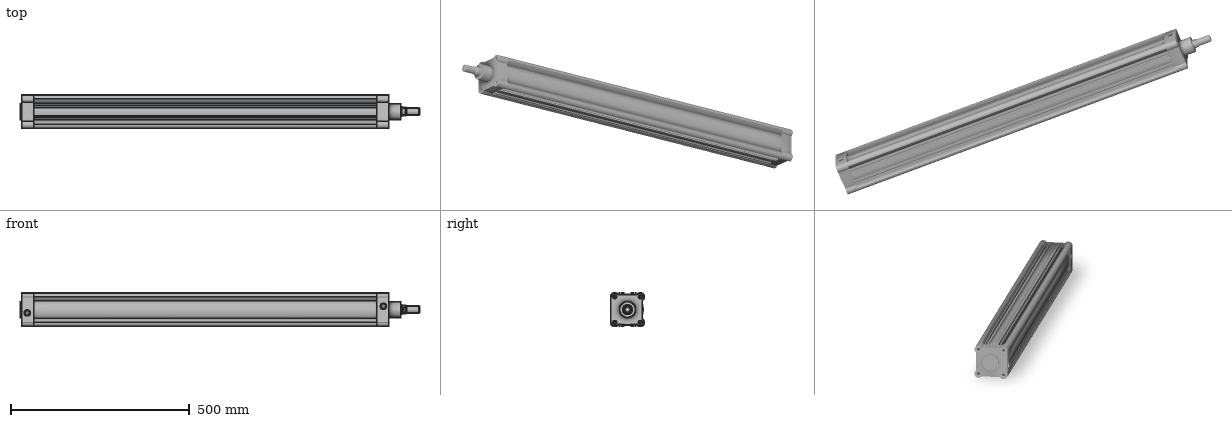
import cadquery as cq
import math


total_length = 1118.0
rear_boss_length = 4.0
cap_length = 34.0
front_boss_length = 34.0
rod_reach = 46.0
thread_length = 40.0

width = 94.0
half_width = width / 2
corner_radius = 11.0
corner_offset = half_width - corner_radius

cap_recess = 5.0
boss_diameter = 45.0
lip_diameter = 27.0
lip_length = 2.0
screw_hole_diameter = 8.0
screw_hole_depth = 17.0
port_diameter = 15.0
port_depth = 13.0
port_setback = 16.0
hole_chamfer = 1.0
port_offset = 9.5

tube_radius = 44.0
rail_inner = 11.0
rail_outer = 23.0
slot_inner = 16.0
slot_outer = 21.0
slot_depth = 8.0

rod_diameter = 25.0
thread_diameter = 20.0
thread_chamfer = 2.0
taper_length = 3.0
across_flats = 20.0
flat_length = 6.0

rear_face = rear_boss_length
barrel_start = rear_face + cap_length
shoulder = total_length - thread_length
front_face = shoulder - rod_reach
barrel_end = front_face - cap_length
front_boss_end = front_face + front_boss_length
lip_end = front_boss_end + lip_length

corner_diagonal = corner_offset + corner_radius * math.sqrt(0.5)


def plane_at(x):
    """Plane facing +X, with local x along Y and local y along Z."""
    return cq.Workplane("YZ", origin=(x, 0, 0))


def cylinder(x, diameter, length):
    return plane_at(x).circle(diameter / 2).extrude(length)


def hole_tool(mouth, direction, diameter, depth):
    """Blind hole with a chamfered mouth, to be cut from a body."""
    radius = diameter / 2
    drill = cq.Solid.makeCylinder(radius, depth, mouth, direction)
    chamfer = cq.Solid.makeCone(radius + hole_chamfer, radius, hole_chamfer, mouth, direction)
    return drill.fuse(chamfer)


def make_cap(start, outer_face, inward, port_z):
    """Cap block with round corner lobes, screw holes in its outer face and a port in its -Y face."""
    face = half_width - cap_recess
    foot = corner_offset - math.sqrt(corner_radius**2 - (face - corner_offset) ** 2)
    cap = (
        plane_at(start)
        .moveTo(-half_width, -corner_offset)
        .lineTo(-half_width, corner_offset)
        .threePointArc((-corner_diagonal, corner_diagonal), (-foot, face))
        .lineTo(foot, face)
        .threePointArc((corner_diagonal, corner_diagonal), (face, foot))
        .lineTo(face, -foot)
        .threePointArc((corner_diagonal, -corner_diagonal), (foot, -face))
        .lineTo(-foot, -face)
        .threePointArc((-corner_diagonal, -corner_diagonal), (-half_width, -corner_offset))
        .close()
        .extrude(cap_length)
    )
    for y in (-corner_offset, corner_offset):
        for z in (-corner_offset, corner_offset):
            mouth = cq.Vector(outer_face, y, z)
            cap = cap.cut(hole_tool(mouth, cq.Vector(inward, 0, 0), screw_hole_diameter, screw_hole_depth))
    port_mouth = cq.Vector(outer_face + inward * port_setback, -half_width, port_z)
    return cap.cut(hole_tool(port_mouth, cq.Vector(0, 1, 0), port_diameter, port_depth))


def make_rear_cap():
    cap = make_cap(rear_face, rear_face, 1, -port_offset)
    return cap.union(cylinder(0, boss_diameter, rear_boss_length))


def make_front_cap():
    cap = make_cap(barrel_end, front_face, -1, port_offset)
    boss = cylinder(front_face, boss_diameter, front_boss_length)
    lip = cylinder(front_boss_end, lip_diameter, lip_length)
    rod_bore = cylinder(barrel_end, rod_diameter, lip_end - barrel_end)
    return cap.union(boss).union(lip).cut(rod_bore)


def make_barrel():
    """Extruded profile with 45-degree corner walls; slotted rails flank the arc on top and bottom."""
    slot_floor = half_width - slot_depth
    rail_foot = half_width - (corner_offset - rail_outer)
    arc_end = math.sqrt(tube_radius**2 - rail_inner**2)
    wall_end = (math.sqrt(2 * tube_radius**2 - corner_radius**2) - corner_radius) / 2
    wall_end_out = wall_end + corner_radius

    rail = [
        (rail_inner, half_width),
        (slot_inner, half_width),
        (slot_inner, slot_floor),
        (slot_outer, slot_floor),
        (slot_outer, half_width),
        (rail_outer, half_width),
        (rail_outer, rail_foot),
        (corner_offset, half_width),
    ]

    outline = plane_at(barrel_start).moveTo(-corner_offset, half_width)
    for side in (1, -1):
        for y, z in reversed(rail[:-1]):
            outline = outline.lineTo(-side * y, side * z)
        outline = outline.lineTo(-side * rail_inner, side * arc_end)
        outline = outline.threePointArc((0, side * tube_radius), (side * rail_inner, side * arc_end))
        for y, z in rail:
            outline = outline.lineTo(side * y, side * z)
        outline = outline.threePointArc(
            (side * corner_diagonal, side * corner_diagonal), (side * half_width, side * corner_offset)
        )
        outline = outline.lineTo(side * wall_end_out, side * wall_end)
        outline = outline.threePointArc(
            (side * tube_radius, 0), (side * wall_end_out, -side * wall_end)
        )
        outline = outline.lineTo(side * half_width, -side * corner_offset)
        outline = outline.threePointArc(
            (side * corner_diagonal, -side * corner_diagonal), (side * corner_offset, -side * half_width)
        )
    return outline.close().extrude(barrel_end - barrel_start)


def make_rod():
    """Rod through the front cap, with two wrench flats and a threaded end of smaller diameter."""
    rod_radius = rod_diameter / 2
    thread_radius = thread_diameter / 2
    rod = (
        cq.Workplane("XZ")
        .moveTo(barrel_end, 0)
        .lineTo(barrel_end, rod_radius)
        .lineTo(shoulder, rod_radius)
        .lineTo(shoulder + taper_length, thread_radius)
        .lineTo(total_length - thread_chamfer, thread_radius)
        .lineTo(total_length, thread_radius - thread_chamfer)
        .lineTo(total_length, 0)
        .close()
        .revolve(360, (0, 0, 0), (1, 0, 0))
    )
    flat_middle = shoulder - flat_length / 2
    flat_depth = (rod_diameter - across_flats) / 2
    for side in (-1, 1):
        flat = cq.Workplane("XY").box(flat_length, flat_depth, rod_diameter)
        rod = rod.cut(flat.translate((flat_middle, side * (across_flats + flat_depth) / 2, 0)))
    return rod


rear_cap = make_rear_cap()
barrel = make_barrel()
front_cap = make_front_cap()
rod = make_rod()

result = cq.Compound.makeCompound([body.solids().val() for body in (rear_cap, barrel, front_cap, rod)])